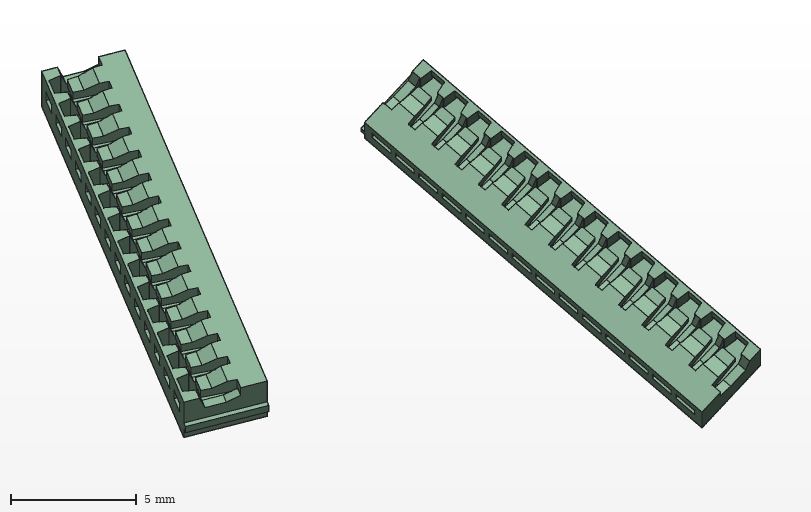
import cadquery as cq

total_length = 18.25
depth = 3.5
height = 2.2
rib_projection = 0.2
body_length = total_length - rib_projection

rib_bottom = 0.53
rib_height = 0.38

contact_count = 14
pitch = 1.25
first_contact_x = (body_length - (contact_count - 1) * pitch) / 2
contact_xs = [first_contact_x + i * pitch for i in range(contact_count)]

cavity_width = 1.0
cavity_floor = 1.0
cavity_roof = 1.53
window_width = 0.7
front_wall = 0.13
throat_width = 0.9

trough_front_top_y = 0.65
trough_front_y = 0.9
trough_slope_y = 1.79
trough_back_y = 2.39
trough_back_z = 1.73

tongue_slope_top_y = 1.99
tongue_slope_bottom_y = 1.35
tongue_front_z = 1.97
tongue_root_width = throat_width
tongue_tip_width = window_width


def extrude_along_x(outline, length):
    """Extrude a (y, z) outline from x = 0 towards +X."""
    return cq.Workplane("YZ").polyline(outline).close().extrude(length)


def extrude_up(outline, bottom, top):
    """Extrude an (x, y) outline between two heights."""
    return cq.Workplane("XY").workplane(offset=bottom).polyline(outline).close().extrude(top - bottom)


def make_body():
    block = cq.Workplane("XY").box(body_length, depth, height, centered=False)
    rib = (
        cq.Workplane("XY")
        .box(rib_projection, depth, rib_height, centered=False)
        .translate((body_length, 0, rib_bottom))
    )
    return block.union(rib)


def make_trough():
    outline = [
        (trough_front_top_y, height),
        (trough_front_y, cavity_roof),
        (trough_slope_y, cavity_roof),
        (trough_back_y, trough_back_z),
        (trough_back_y, height),
    ]
    return extrude_along_x(outline, body_length)


def make_cavity(x):
    """Passage for one contact, open upwards between the front wall and the trough's back."""
    half_cavity = cavity_width / 2
    half_window = window_width / 2
    half_throat = throat_width / 2
    opening = [
        (x - half_window, front_wall),
        (x + half_window, front_wall),
        (x + half_throat, trough_front_top_y),
        (x + half_cavity, trough_front_top_y),
        (x + half_cavity, trough_back_y),
        (x - half_cavity, trough_back_y),
        (x - half_cavity, trough_front_top_y),
        (x - half_throat, trough_front_top_y),
    ]
    passage_height = cavity_roof - cavity_floor
    window = (
        cq.Workplane("XY")
        .box(window_width, front_wall, passage_height, centered=False)
        .translate((x - half_window, 0, cavity_floor))
    )
    rear_passage = (
        cq.Workplane("XY")
        .box(cavity_width, depth - trough_back_y, passage_height, centered=False)
        .translate((x - half_cavity, trough_back_y, cavity_floor))
    )
    return extrude_up(opening, cavity_floor, height).union(window).union(rear_passage)


def make_tongue(x):
    side_outline = [
        (trough_front_y, cavity_roof),
        (trough_back_y, cavity_roof),
        (trough_back_y, height),
        (tongue_slope_top_y, height),
        (tongue_slope_bottom_y, tongue_front_z),
        (trough_front_y, tongue_front_z),
    ]
    plan_outline = [
        (x - tongue_tip_width / 2, trough_front_y),
        (x + tongue_tip_width / 2, trough_front_y),
        (x + tongue_root_width / 2, trough_back_y),
        (x - tongue_root_width / 2, trough_back_y),
    ]
    plan_prism = extrude_up(plan_outline, cavity_roof, height)
    return extrude_along_x(side_outline, body_length).intersect(plan_prism)


result = make_body().cut(make_trough())
for contact_x in contact_xs:
    result = result.cut(make_cavity(contact_x))
for contact_x in contact_xs:
    result = result.union(make_tongue(contact_x))